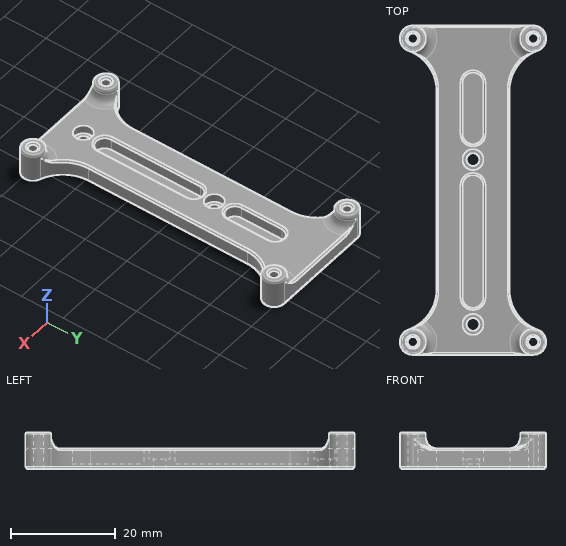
import cadquery as cq
import math

boss_pitch_x = 23.0
boss_pitch_y = 58.0
boss_radius = 2.5
boss_height = 7.0
boss_fillet_radius = 2.0
boss_rim_radius = 0.4
boss_hole_diameter = 1.9

plate_thickness = 4.0
waist_width = 14.0
flare_radius = 8.0
edge_chamfer = 0.4

screw_y = 5.85
screw_spacing = 31.5
screw_hole_diameter = 2.4
counterbore_diameter = 4.0
counterbore_depth = 2.0
slot_width = 4.0
slot_depth = 3.0
slot_end_y = 22.5
slot_to_screw = 2.95

clearance = 1.0
chamfer_slope = math.pi / 4
chamfer_reach = 0.7
fillet_rim_steps = 8

screw_y_positions = (screw_y, screw_y - screw_spacing)
slot_y_spans = ((screw_y + slot_to_screw, slot_end_y), (-slot_end_y, screw_y - slot_to_screw))

boss_x = boss_pitch_x / 2
boss_y = boss_pitch_y / 2
half_length = boss_y + boss_radius
half_waist = waist_width / 2
fillet_foot_radius = boss_radius + boss_fillet_radius
fillet_top = plate_thickness + boss_fillet_radius

flare_x = half_waist + flare_radius
flare_to_boss = flare_radius + boss_radius
flare_y = boss_y - math.sqrt(flare_to_boss ** 2 - (flare_x - boss_x) ** 2)
flare_end_angle = math.atan2(boss_y - flare_y, boss_x - flare_x)

end_foot_x = boss_x - math.sqrt(fillet_foot_radius ** 2 - boss_radius ** 2)
flare_foot_angle = flare_end_angle + math.acos(
    (flare_radius ** 2 + flare_to_boss ** 2 - fillet_foot_radius ** 2) / (2 * flare_radius * flare_to_boss)
)


def flare_point(angle):
    return (flare_x + flare_radius * math.cos(angle), flare_y + flare_radius * math.sin(angle))


def make_quarter_prism():
    """Full-height block over the +X +Y quarter of the outline."""
    corner_angle = (flare_end_angle - math.pi / 2) / 2
    corner_middle = (
        boss_x + boss_radius * math.cos(corner_angle),
        boss_y + boss_radius * math.sin(corner_angle),
    )
    return (
        cq.Workplane("XY")
        .lineTo(half_waist, 0)
        .lineTo(half_waist, flare_y)
        .threePointArc(flare_point((flare_end_angle + math.pi) / 2), flare_point(flare_end_angle))
        .threePointArc(corner_middle, (boss_x, half_length))
        .lineTo(0, half_length)
        .close()
        .extrude(boss_height)
    )


def make_plate_clearance():
    """Space above the plate, outside the foot of the boss fillet."""
    span = 2 * half_length
    return (
        cq.Workplane("XY", origin=(0, 0, plate_thickness))
        .rect(span, 2 * span)
        .extrude(boss_height)
        .cut(
            cq.Workplane("XY", origin=(boss_x, boss_y, plate_thickness))
            .circle(fillet_foot_radius)
            .extrude(boss_height)
        )
    )


def make_fillet_clearance():
    """Space above the boss fillet, swept from the end wall round to the flare wall."""
    outer_radius = fillet_foot_radius + clearance
    diagonal = boss_fillet_radius * math.sqrt(0.5)
    sweep = math.degrees(flare_end_angle + math.pi / 2)
    return (
        cq.Workplane("YZ")
        .moveTo(boss_radius, boss_height + clearance)
        .lineTo(boss_radius, fillet_top)
        .threePointArc(
            (fillet_foot_radius - diagonal, fillet_top - diagonal), (fillet_foot_radius, plate_thickness)
        )
        .lineTo(outer_radius, plate_thickness)
        .lineTo(outer_radius, boss_height + clearance)
        .close()
        .revolve(sweep, (0, 0, 0), (0, 1, 0))
        .translate((boss_x, boss_y, 0))
    )


def chamfer_section(wall_point, inward, rim_height, slope=chamfer_slope, reach=chamfer_reach):
    """Triangle square to a wall; its sloping side crosses the wall at the rim height."""
    x, y = wall_point
    run = math.cos(slope)
    climb = math.sin(slope)
    corners = []
    for offset, rise in (
        (-reach * run, -reach * climb),
        (reach * run, reach * climb),
        (-reach, reach * climb),
    ):
        corners.append(cq.Vector(x + offset * inward[0], y + offset * inward[1], rim_height + rise))
    return cq.Wire.makePolygon(corners, close=True)


def loft_chamfer(sections, ruled=False):
    return cq.Workplane(obj=cq.Solid.makeLoft(sections, ruled))


def fillet_rim_section(wall_point, inward, fraction):
    """Chamfer section on the boss fillet; the chamfer widens steadily from the top to the foot."""
    slope = math.pi / 2 - fraction * (math.pi / 2 - chamfer_slope)
    reach = chamfer_reach * (1 + fraction) / 2
    radius = math.hypot(wall_point[0] - boss_x, wall_point[1] - boss_y)
    inset = min(fillet_foot_radius - radius, boss_fillet_radius)
    fillet_height = fillet_top - math.sqrt(boss_fillet_radius ** 2 - inset ** 2)
    return chamfer_section(wall_point, inward, fillet_height - edge_chamfer * fraction, slope, reach)


def make_rim_cutters():
    """Chamfer cutters along the upper rim of one quarter, from the end wall to the waist."""
    plate_rim = plate_thickness - edge_chamfer
    fractions = [step / fillet_rim_steps for step in range(1, fillet_rim_steps + 1)]

    end_inward = (0, -1)
    end_straight = [
        chamfer_section((-clearance, half_length), end_inward, plate_rim),
        chamfer_section((end_foot_x, half_length), end_inward, plate_rim),
    ]
    end_fillet = []
    for fraction in fractions:
        x = boss_x + (end_foot_x - boss_x) * fraction
        end_fillet.append(fillet_rim_section((x, half_length), end_inward, fraction))

    flare_fillet = []
    for fraction in fractions:
        angle = flare_end_angle + (flare_foot_angle - flare_end_angle) * fraction
        flare_inward = (math.cos(angle), math.sin(angle))
        flare_fillet.append(fillet_rim_section(flare_point(angle), flare_inward, fraction))

    waist_inward = (-1, 0)
    waist_section = chamfer_section((half_waist, flare_y), waist_inward, plate_rim)
    waist_straight = [chamfer_section((half_waist, -clearance), waist_inward, plate_rim), waist_section]
    flare_sweep = cq.Solid.revolve(
        waist_section,
        [],
        math.degrees(math.pi - flare_foot_angle),
        cq.Vector(flare_x, flare_y, boss_height),
        cq.Vector(flare_x, flare_y, 0),
    )
    return [
        loft_chamfer(end_straight, ruled=True),
        loft_chamfer(end_fillet),
        loft_chamfer(flare_fillet),
        cq.Workplane(obj=flare_sweep),
        loft_chamfer(waist_straight, ruled=True),
    ]


def make_body():
    """One quarter mirrored across both centre planes, with rounded boss tops and a chamfered underside."""
    quarter = make_quarter_prism().cut(make_plate_clearance()).cut(make_fillet_clearance())
    quarter = quarter.faces(">Z").edges().fillet(boss_rim_radius)
    for cutter in make_rim_cutters():
        quarter = quarter.cut(cutter)
    half = quarter.union(quarter.mirror("YZ"))
    body = half.union(half.mirror("XZ"))
    return body.faces("<Z").edges().chamfer(edge_chamfer)


def cut_boss_holes(body):
    """Through holes on the boss axes, countersunk at the top."""
    hole_radius = boss_hole_diameter / 2
    hole = cq.Workplane("XY").circle(hole_radius).extrude(boss_height)
    countersink = (
        cq.Workplane("XY", origin=(0, 0, boss_height - edge_chamfer))
        .circle(hole_radius)
        .workplane(offset=edge_chamfer)
        .circle(hole_radius + edge_chamfer)
        .loft()
    )
    cutter = hole.union(countersink)
    for x in (-boss_x, boss_x):
        for y in (-boss_y, boss_y):
            body = body.cut(cutter.translate((x, y, 0)))
    return body


def cut_screw_holes(body):
    return (
        body.copyWorkplane(cq.Workplane("XY", origin=(0, 0, plate_thickness)))
        .pushPoints([(0, y) for y in screw_y_positions])
        .cboreHole(screw_hole_diameter, counterbore_diameter, counterbore_depth)
    )


def cut_slots(body):
    """Blind pockets with round ends and a chamfered mouth."""
    for y_low, y_high in slot_y_spans:
        middle = (0, (y_low + y_high) / 2, plate_thickness - slot_depth)
        pocket = cq.Workplane("XY", origin=middle).slot2D(y_high - y_low, slot_width, 90).extrude(slot_depth)
        mouth = (
            cq.Workplane("XY", origin=(middle[0], middle[1], plate_thickness))
            .slot2D(y_high - y_low + 2 * edge_chamfer, slot_width + 2 * edge_chamfer, 90)
            .extrude(-edge_chamfer, taper=math.degrees(chamfer_slope))
        )
        body = body.cut(pocket).cut(mouth)
    return body


result = cut_slots(cut_screw_holes(cut_boss_holes(make_body())))